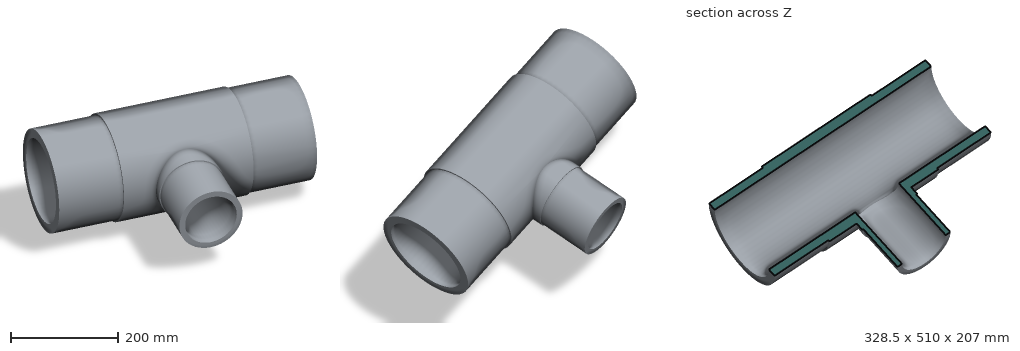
import cadquery as cq

pipe_length = 510.0
pipe_diameter = 200.0
pipe_bore = 163.5
body_length = 256.5
body_diameter = 207.0

branch_diameter = 125.0
branch_bore = 102.0
branch_reach = 225.0
branch_collar_diameter = 129.5
branch_collar_reach = 121.5


def main_cylinder(diameter, length):
    """Cylinder along Y, centred on the origin."""
    return cq.Workplane("XZ").circle(diameter / 2).extrude(length / 2, both=True)


def branch_cylinder(diameter, reach):
    """Cylinder from the main axis out along +X."""
    return cq.Workplane("YZ").circle(diameter / 2).extrude(reach)


outside = (
    main_cylinder(pipe_diameter, pipe_length)
    .union(main_cylinder(body_diameter, body_length))
    .union(branch_cylinder(branch_collar_diameter, branch_collar_reach))
    .union(branch_cylinder(branch_diameter, branch_reach))
)

result = (
    outside
    .cut(main_cylinder(pipe_bore, pipe_length))
    .cut(branch_cylinder(branch_bore, branch_reach))
)